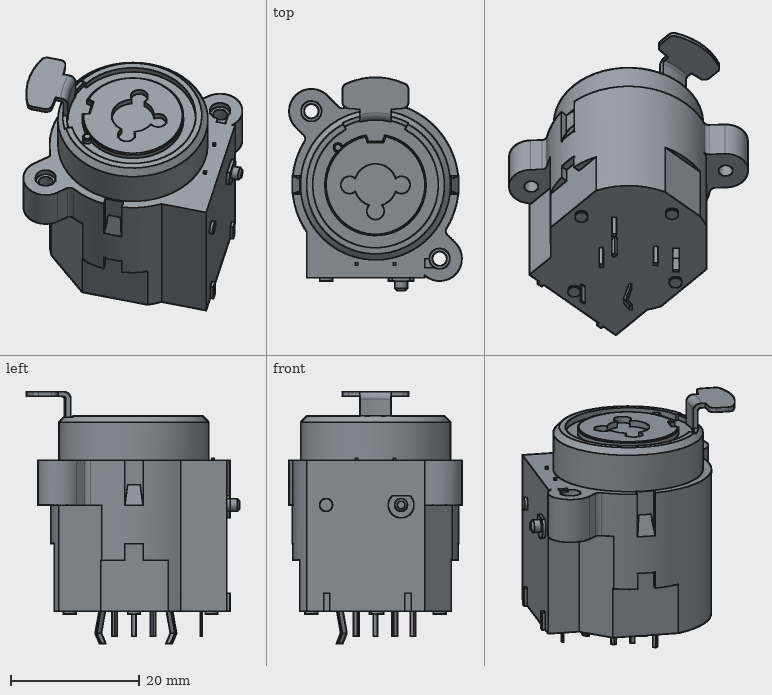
import cadquery as cq
import math


body_radius = 13.0
body_depth = 23.6
block_left = -10.75
block_right = 7.65
block_front = -14.5
side_flat_x = 11.85
side_flat_top = -15.6
side_flat_key_top = -13.0
side_flat_key_width = 2.85
back_flat_y = 12.45
back_flat_top = -13.0
corner_flat_distance = 12.15
corner_flat_angle = 43.5

ear_x = 10.0
ear_y = 11.5
ear_radius = 3.5
ear_depth = 7.0
ear_web_length = 6.0
ear_root_radius = 0.8
screw_hole_diameter = 2.2
screw_recess_diameter = 3.2
screw_recess_depth = 1.0
ear_pocket_length = 1.4
ear_pocket_depth = 0.3

snap_slot_width = 2.9
snap_wedge_height = 3.2
snap_wedge_top_width = 1.95
snap_wedge_bottom_width = 2.8

collar_radius = 11.7
collar_height = 6.9
collar_chamfer = 0.95
bore_radius = 9.8
bore_depth = 1.0
face_radius = 7.9
face_chamfer = 0.2
face_key_y = 6.8
face_key_inner_half = 1.1
face_key_outer_half = 1.5
pip_radius = 0.7
pip_offset = 5.85
opening_radius = 3.3
opening_depth = 1.0
lobe_radius = 1.35
lobe_offset = 4.05

latch_relief_radius = 10.3
latch_relief_half_angle = 28.0
latch_rim_drop = 0.2
strap_width = 4.9
strap_inner_radius = 10.13
strap_thickness = 0.75
strap_bend_radius = 0.4
latch_top = 10.7
paddle_half_width = 5.17
paddle_neck_y = 11.8
paddle_shoulder_y = 12.0
paddle_side_y = 15.5
paddle_tip_y = 16.81
paddle_corner_radius = 1.0

boss_z = -7.0
boss_height = 0.5
disc_x = -7.7
disc_diameter = 2.0
pin_boss_x = 4.0
pin_boss_radius = 2.0
pin_boss_flat = 1.45
locating_pin_diameter = 2.0
locating_pin_tip_y = -16.5
locating_pin_chamfer = 0.4
rib_centres = (-7.6, 5.05)
rib_width = 1.0
rib_height = 2.85
nub_size = 0.4
nub_height = 0.3
nub_x = 2.95
nub_y = -12.35

foot_diameter = 2.0
foot_height = 0.4
foot_places = ((-10.0, 0.0), (10.0, 0.0), (0.0, 10.0), (0.3, -12.1))
terminal_tip_z = -27.5
terminal_root = 1.0
terminal_width = 0.7
ground_thickness = 0.3
contact_thickness = 0.55
terminals = (
    (0.0, -10.5, ground_thickness, 0),
    (3.0, 0.0, contact_thickness, 90),
    (-3.0, 3.0, contact_thickness, -35),
    (3.0, -3.0, contact_thickness, 35),
    (5.85, 3.0, contact_thickness, -35),
)
clip_x = -5.4
clip_width = 1.0
clip_thickness = 0.4
clip_root_y = 5.4
clip_knee_y = 6.25
clip_knee_z = -27.0
clip_tip_y = 5.3
clip_tip_z = -28.6
clip_turn = -45
clip_centre_y = -0.3


def cylinder(radius, z_low, z_high, x=0.0, y=0.0):
    return cq.Workplane("XY", origin=(x, y, z_low)).circle(radius).extrude(z_high - z_low)


def block(x_low, x_high, y_low, y_high, z_low, z_high):
    size = (x_high - x_low, y_high - y_low, z_high - z_low)
    return cq.Workplane("XY").box(*size, centered=False).translate((x_low, y_low, z_low))


def half_turn(shape):
    return shape.rotate((0, 0, 0), (0, 0, 1), 180)


def make_round_body():
    """Round housing with flats on the sides, the back and below the two ears."""
    reach = 2 * body_radius
    body = cylinder(body_radius, -body_depth, 0)
    side = block(-reach, -side_flat_x, -reach, reach, -body_depth, side_flat_top)
    key_half = side_flat_key_width / 2
    side = side.union(block(-reach, -side_flat_x, -key_half, key_half, -body_depth, side_flat_key_top))
    corner = block(corner_flat_distance, reach, -reach, reach, -body_depth, -ear_depth)
    corner = corner.rotate((0, 0, 0), (0, 0, 1), 180 - corner_flat_angle)
    for cutter in (side, corner):
        body = body.cut(cutter).cut(half_turn(cutter))
    return body.cut(block(-reach, reach, back_flat_y, reach, -body_depth, back_flat_top))


def make_ear():
    """Ear at the back left, joined to the body by a web running at 45 degrees."""
    web = cq.Workplane("XY").box(ear_web_length, 2 * ear_radius, ear_depth, centered=(False, True, False))
    web = web.rotate((0, 0, 0), (0, 0, 1), -45).translate((-ear_x, ear_y, -ear_depth))
    return cylinder(ear_radius, -ear_depth, 0, -ear_x, ear_y).union(web)


def make_ear_root(side):
    """Fillet between one edge of the ear web (side = 1 back, -1 front) and the round body."""
    diagonal = math.sqrt(0.5)
    edge_offset = ear_radius + side * (ear_y - ear_x) * diagonal
    centre_offset = edge_offset + ear_root_radius
    centre_radius = body_radius + ear_root_radius
    centre_along = math.sqrt(centre_radius**2 - centre_offset**2)
    corner_along = math.sqrt((body_radius - ear_root_radius) ** 2 - edge_offset**2)

    def place(across, along):
        """Point given by its distances from the Z axis across and along the 45 degree web."""
        return ((side * across - along) * diagonal, (side * across + along) * diagonal)

    centre = place(centre_offset, centre_along)
    web_touch = place(edge_offset, centre_along)
    body_touch = tuple(value * body_radius / centre_radius for value in centre)
    outline = [place(edge_offset, corner_along), web_touch, centre, body_touch]
    wedge = cq.Workplane("XY").polyline(outline).close().extrude(-ear_depth)
    return wedge.cut(cylinder(ear_root_radius, -ear_depth, 0, *centre))


def make_screw_hole():
    hole = cylinder(screw_hole_diameter / 2, -ear_depth, 0, -ear_x, ear_y)
    return hole.union(cylinder(screw_recess_diameter / 2, -screw_recess_depth, 0, -ear_x, ear_y))


def make_housing():
    housing = make_round_body()
    housing = housing.union(block(block_left, block_right, block_front, 0, -body_depth, 0))
    ear = make_ear().union(make_ear_root(1)).union(make_ear_root(-1))
    housing = housing.union(ear).union(half_turn(ear))
    pocket = block(block_right, ear_x, -ear_y - ear_pocket_length, -ear_y, -ear_pocket_depth, 0)
    housing = housing.cut(pocket)
    hole = make_screw_hole()
    return housing.cut(hole).cut(half_turn(hole))


def add_snaps(housing):
    """Open a slot at each side of the flange and leave a tapered snap wedge at its lower end."""
    slot = block(-body_radius, -side_flat_x, -snap_slot_width / 2, snap_slot_width / 2, -ear_depth, 0)
    bottom_half = snap_wedge_bottom_width / 2
    top_half = snap_wedge_top_width / 2
    outline = [
        (-bottom_half, -ear_depth),
        (bottom_half, -ear_depth),
        (top_half, snap_wedge_height - ear_depth),
        (-top_half, snap_wedge_height - ear_depth),
    ]
    face = cq.Workplane("YZ", origin=(-body_radius, 0, 0)).polyline(outline).close()
    face = face.extrude(body_radius - side_flat_x)
    slope = (
        cq.Workplane("XZ")
        .moveTo(-side_flat_x, -ear_depth)
        .lineTo(-body_radius, -ear_depth)
        .lineTo(-side_flat_x, snap_wedge_height - ear_depth)
        .close()
        .extrude(snap_slot_width / 2, both=True)
    )
    wedge = face.intersect(slope)
    housing = housing.cut(slot).cut(half_turn(slot))
    return housing.union(wedge).union(half_turn(wedge))


def make_latch_sector(z_low, z_high):
    """Wedge of space around the latch strap, reaching past the collar."""
    reach = 2 * collar_radius
    half_width = reach * math.tan(math.radians(latch_relief_half_angle))
    outline = [(0, 0), (half_width, reach), (-half_width, reach)]
    return cq.Workplane("XY", origin=(0, 0, z_low)).polyline(outline).close().extrude(z_high - z_low)


def make_collar():
    """Chamfered collar with a shallow bore, widened and lowered where the latch passes."""
    floor_z = collar_height - bore_depth
    collar = cylinder(collar_radius, 0, collar_height).faces(">Z").chamfer(collar_chamfer)
    collar = collar.cut(cylinder(bore_radius, floor_z, collar_height))
    sector = make_latch_sector(floor_z, collar_height)
    collar = collar.cut(sector.intersect(cylinder(latch_relief_radius, floor_z, collar_height)))
    return collar.cut(make_latch_sector(collar_height - latch_rim_drop, collar_height))


def make_socket_face():
    """Raised face with a keyway, an index pip and the three-lobed plug opening."""
    floor_z = collar_height - bore_depth
    face = cylinder(face_radius, floor_z, collar_height)
    keyway = (
        cq.Workplane("XY", origin=(0, 0, floor_z))
        .moveTo(-face_key_inner_half, face_key_y)
        .lineTo(face_key_inner_half, face_key_y)
        .lineTo(face_key_outer_half, face_radius)
        .lineTo(-face_key_outer_half, face_radius)
        .close()
        .extrude(bore_depth)
    )
    face = face.cut(keyway).faces(">Z").chamfer(face_chamfer)
    pip = cylinder(pip_radius, floor_z, collar_height, -pip_offset, pip_offset)
    face = face.union(pip.faces(">Z").chamfer(face_chamfer))
    opening_floor = collar_height - opening_depth
    face = face.cut(cylinder(opening_radius, opening_floor, collar_height))
    for x, y in ((-lobe_offset, 0), (lobe_offset, 0), (0, -lobe_offset)):
        face = face.cut(cylinder(lobe_radius, opening_floor, collar_height, x, y))
    return face


def make_latch():
    """Curved strap rising from the bore and bending outwards into a flat paddle."""
    foot_z = collar_height - bore_depth
    underside = latch_top - strap_thickness
    strap_outer_radius = strap_inner_radius + strap_thickness
    outer_bend = strap_bend_radius + strap_thickness
    bend_end = strap_inner_radius + outer_bend
    bend_z = latch_top - outer_bend
    diagonal = math.sqrt(0.5)
    outer_middle = (bend_end - outer_bend * diagonal, bend_z + outer_bend * diagonal)
    inner_middle = (bend_end - strap_bend_radius * diagonal, bend_z + strap_bend_radius * diagonal)
    strap_end = paddle_shoulder_y + strap_thickness
    profile = (
        cq.Workplane("XZ")
        .moveTo(strap_inner_radius, foot_z)
        .lineTo(strap_inner_radius, bend_z)
        .threePointArc(outer_middle, (bend_end, latch_top))
        .lineTo(strap_end, latch_top)
        .lineTo(strap_end, underside)
        .lineTo(bend_end, underside)
        .threePointArc(inner_middle, (strap_outer_radius, bend_z))
        .lineTo(strap_outer_radius, foot_z)
        .close()
    )
    ring = profile.revolve(360, (0, 0, 0), (0, 1, 0))
    strap = ring.intersect(block(-strap_width / 2, strap_width / 2, 0, strap_end, foot_z, latch_top))
    paddle = (
        cq.Workplane("XY", origin=(0, 0, underside))
        .moveTo(-strap_width / 2, paddle_neck_y)
        .lineTo(strap_width / 2, paddle_neck_y)
        .lineTo(paddle_half_width, paddle_shoulder_y)
        .lineTo(paddle_half_width, paddle_side_y)
        .threePointArc((0, paddle_tip_y), (-paddle_half_width, paddle_side_y))
        .lineTo(-paddle_half_width, paddle_shoulder_y)
        .close()
        .extrude(strap_thickness)
    )
    paddle = paddle.edges("|Z").edges("<X or >X").fillet(paddle_corner_radius)
    return strap.union(paddle)


def make_front_details():
    """Disc, locating pin on its flatted boss, ribs, and the nubs on top of the flange."""
    front = cq.Workplane("XZ", origin=(0, block_front, 0))
    details = front.center(disc_x, boss_z).circle(disc_diameter / 2).extrude(boss_height)
    boss = front.center(pin_boss_x, boss_z).circle(pin_boss_radius).extrude(boss_height)
    front_y = block_front - boss_height
    boss = boss.intersect(
        block(
            pin_boss_x - pin_boss_radius,
            pin_boss_x + pin_boss_radius,
            front_y,
            block_front,
            boss_z - pin_boss_radius,
            boss_z + pin_boss_flat,
        )
    )
    pin_length = block_front - locating_pin_tip_y
    pin = front.center(pin_boss_x, boss_z).circle(locating_pin_diameter / 2).extrude(pin_length)
    pin = pin.faces("<Y").chamfer(locating_pin_chamfer)
    details = details.union(boss).union(pin)
    for x in rib_centres:
        rib_half = rib_width / 2
        rib = block(x - rib_half, x + rib_half, front_y, block_front, -body_depth, rib_height - body_depth)
        details = details.union(rib)
    for x in (-nub_x, nub_x):
        nub_half = nub_size / 2
        nub = block(x - nub_half, x + nub_half, nub_y - nub_half, nub_y + nub_half, 0, nub_height)
        details = details.union(nub)
    return details


def make_terminal(x, y, thickness, turn):
    length = terminal_root - body_depth - terminal_tip_z
    pin = cq.Workplane("XY").box(terminal_width, thickness, length, centered=(True, True, False))
    return pin.rotate((0, 0, 0), (0, 0, 1), turn).translate((x, y, terminal_tip_z))


def make_clip():
    """Board clip that leans diagonally to a knee and hooks back at its tip."""
    root_z = terminal_root - body_depth
    outline = [
        (clip_root_y, root_z),
        (clip_root_y, -body_depth),
        (clip_knee_y, clip_knee_z),
        (clip_tip_y, clip_tip_z),
        (clip_tip_y - clip_thickness, clip_tip_z),
        (clip_knee_y - clip_thickness, clip_knee_z),
        (clip_root_y - clip_thickness, -body_depth),
        (clip_root_y - clip_thickness, root_z),
    ]
    plane = cq.Workplane("YZ", origin=(clip_x, 0, 0))
    clip = plane.polyline(outline).close().extrude(clip_width / 2, both=True)
    return clip.rotate((clip_x, clip_root_y, 0), (clip_x, clip_root_y, 1), clip_turn)


def make_underside():
    clip = make_clip()
    parts = clip.union(clip.mirror("XZ")).translate((0, clip_centre_y, 0))
    for x, y in foot_places:
        parts = parts.union(cylinder(foot_diameter / 2, -body_depth - foot_height, -body_depth, x, y))
    for terminal in terminals:
        parts = parts.union(make_terminal(*terminal))
    return parts


connector = add_snaps(make_housing())
connector = connector.union(make_collar()).union(make_socket_face())
connector = connector.union(make_latch())
connector = connector.union(make_front_details())
result = connector.union(make_underside())